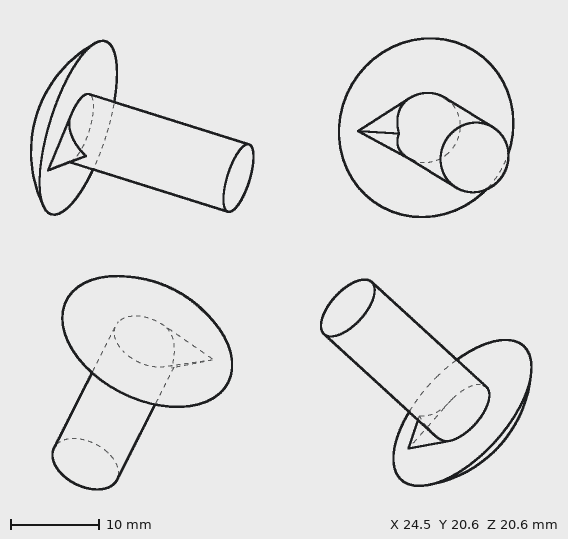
import cadquery as cq
import math

total_length = 24.48
head_diameter = 20.55
head_height = 4.45
shank_diameter = 8.0
nib_length = 2.82

head_radius = head_diameter / 2
shank_radius = shank_diameter / 2
dome_radius = (head_radius**2 + head_height**2) / (2 * head_height)


def make_body():
    """Revolve the domed head and plain shank about the X axis."""
    dome_mid_angle = math.asin(head_radius / dome_radius) / 2
    dome_mid = (
        dome_radius * (1 - math.cos(dome_mid_angle)),
        dome_radius * math.sin(dome_mid_angle),
    )
    return (
        cq.Workplane("XY")
        .moveTo(0, 0)
        .threePointArc(dome_mid, (head_height, head_radius))
        .lineTo(head_height, shank_radius)
        .lineTo(total_length, shank_radius)
        .lineTo(total_length, 0)
        .close()
        .revolve(360, (0, 0, 0), (1, 0, 0))
    )


def make_nib():
    """Build a tetrahedron whose base sits on the head and whose apex is on the shank axis."""
    ridge_start = cq.Vector(head_height, -shank_diameter, 0)
    apex = cq.Vector(head_height + 2 * nib_length, 0, 0)

    half_angle = math.asin(shank_radius / shank_diameter)
    root_y = -shank_radius * math.sin(half_angle)
    root_z = shank_radius * math.cos(half_angle)
    upper_root = cq.Vector(head_height, root_y, root_z)
    lower_root = cq.Vector(head_height, root_y, -root_z)

    triangles = [
        (ridge_start, upper_root, lower_root),
        (ridge_start, upper_root, apex),
        (ridge_start, lower_root, apex),
        (upper_root, lower_root, apex),
    ]
    faces = [
        cq.Face.makeFromWires(cq.Wire.makePolygon(corners, close=True))
        for corners in triangles
    ]
    return cq.Solid.makeSolid(cq.Shell.makeShell(faces))


result = make_body().union(cq.Workplane(obj=make_nib()))